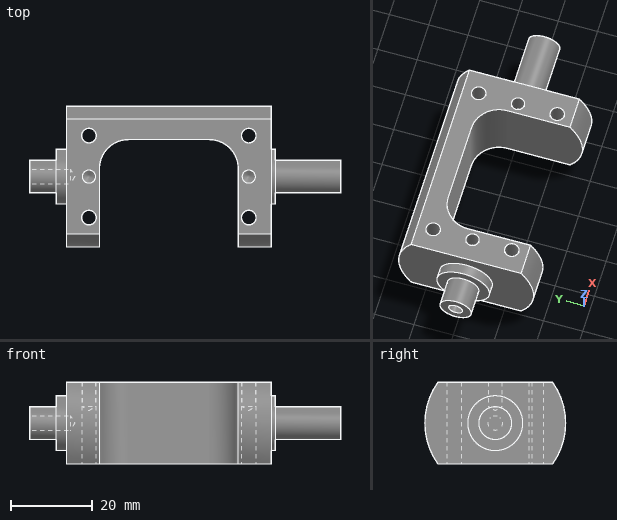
import cadquery as cq
import math

body_length = 50.0
body_height = 20.0
flat_width = 28.0
end_radius = math.hypot(flat_width / 2, body_height / 2)

arm_thickness = 8.1
pocket_width = body_length - 2 * arm_thickness
pocket_back_y = 9.0
pocket_corner_radius = 7.0

shaft_diameter = 8.0
collar_diameter = 13.4
left_shaft_reach = 9.0
left_collar_length = 2.5
right_shaft_reach = 17.0
right_collar_length = 1.0

hole_inset = 5.5
hole_x = body_length / 2 - hole_inset
through_hole_y = 10.0
through_hole_diameter = 3.5
blind_hole_diameter = 3.2
blind_hole_depth = 6.0

axial_hole_diameter = 3.5
axial_hole_depth = 10.0

drill_tip_angle = 118.0


def make_body():
    """Cylinder about X cut down to the flat top and bottom faces."""
    round_bar = cq.Workplane("YZ").circle(end_radius).extrude(body_length / 2, both=True)
    slab = cq.Workplane("XY").box(body_length, 2 * end_radius, body_height)
    return round_bar.intersect(slab)


def make_pocket():
    """Vertical cutter with rounded inner corners, running out past the -Y end."""
    pocket_depth = pocket_back_y + end_radius
    return (
        cq.Workplane("XY")
        .box(pocket_width, pocket_depth, body_height)
        .translate((0, pocket_back_y - pocket_depth / 2, 0))
        .edges("|Z and >Y")
        .fillet(pocket_corner_radius)
    )


def make_trunnion(side, shaft_reach, collar_length):
    """Shaft with a collar at its root; side is -1 for -X and +1 for +X."""
    root = cq.Workplane("YZ").workplane(offset=side * body_length / 2)
    shaft = root.circle(shaft_diameter / 2).extrude(side * shaft_reach)
    collar = root.circle(collar_diameter / 2).extrude(side * collar_length)
    return shaft.union(collar)


def make_drill(diameter, depth):
    """Cone-tipped drilling from the origin down -Z, with depth to the full diameter."""
    radius = diameter / 2
    tip_length = radius / math.tan(math.radians(drill_tip_angle / 2))
    profile = [(0, 0), (radius, 0), (radius, -depth), (0, -depth - tip_length)]
    return cq.Workplane("XZ").polyline(profile).close().revolve(360, (0, 0), (0, 1))


def make_through_holes():
    corners = [(x, y) for x in (-hole_x, hole_x) for y in (-through_hole_y, through_hole_y)]
    return (
        cq.Workplane("XY")
        .pushPoints(corners)
        .circle(through_hole_diameter / 2)
        .extrude(body_height / 2, both=True)
    )


def make_blind_holes():
    drill = make_drill(blind_hole_diameter, blind_hole_depth).translate((0, 0, body_height / 2))
    return drill.translate((-hole_x, 0, 0)).union(drill.translate((hole_x, 0, 0)))


def make_axial_hole():
    """Drilling along +X from the free end of the left shaft."""
    shaft_end_x = -body_length / 2 - left_shaft_reach
    drill = make_drill(axial_hole_diameter, axial_hole_depth).rotate((0, 0, 0), (0, 1, 0), -90)
    return drill.translate((shaft_end_x, 0, 0))


result = (
    make_body()
    .cut(make_pocket())
    .union(make_trunnion(-1, left_shaft_reach, left_collar_length))
    .union(make_trunnion(1, right_shaft_reach, right_collar_length))
    .cut(make_through_holes())
    .cut(make_blind_holes())
    .cut(make_axial_hole())
)